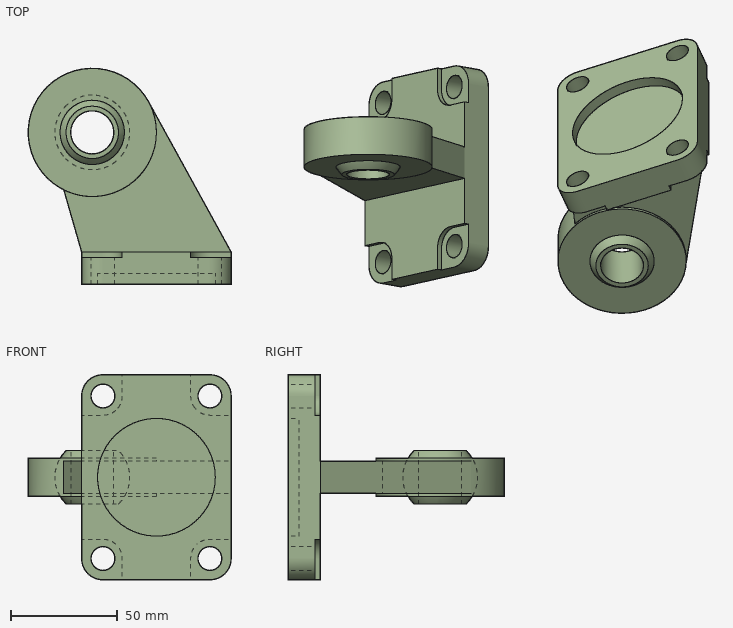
import cadquery as cq
import math

overall_depth = 101.0

plate_width = 70.0
plate_height = 96.0
plate_thickness = 15.0
corner_radius = 10.0

bolt_diameter = 11.0
bolt_spacing_x = 50.0
bolt_spacing_z = 76.0
seat_radius = 9.0
seat_depth = 2.5

recess_diameter = 55.0
recess_depth = 5.0

eye_diameter = 60.0
eye_thickness = 18.0
eye_x = -30.0
eye_y = overall_depth - eye_diameter / 2

web_thickness = 15.0
web_lean = 16.0

ball_diameter = 35.0
ball_height = 25.0
ball_bore = 20.0


def make_plate():
    """Rounded plate with its thickness along +Y."""
    return (
        cq.Workplane("XY")
        .box(plate_width, plate_thickness, plate_height)
        .edges("|Y")
        .fillet(corner_radius)
        .translate((0, plate_thickness / 2, 0))
    )


def make_bolt_cutters():
    """Through holes and corner seats for the four bolts."""
    cutters = []
    seat_floor = plate_thickness - seat_depth
    for side_x in (-1, 1):
        for side_z in (-1, 1):
            bolt_x = side_x * bolt_spacing_x / 2
            bolt_z = side_z * bolt_spacing_z / 2
            hole = (
                cq.Workplane("XZ")
                .center(bolt_x, bolt_z)
                .circle(bolt_diameter / 2)
                .extrude(-plate_thickness)
            )
            inner_x = bolt_x - side_x * seat_radius
            inner_z = bolt_z - side_z * seat_radius
            outer_x = side_x * plate_width / 2
            outer_z = side_z * plate_height / 2
            arc_reach = seat_radius * math.sqrt(0.5)
            seat = (
                cq.Workplane("XZ", origin=(0, seat_floor, 0))
                .moveTo(outer_x, outer_z)
                .lineTo(outer_x, inner_z)
                .lineTo(bolt_x, inner_z)
                .threePointArc(
                    (bolt_x - side_x * arc_reach, bolt_z - side_z * arc_reach),
                    (inner_x, bolt_z),
                )
                .lineTo(inner_x, outer_z)
                .close()
                .extrude(-seat_depth)
            )
            cutters += [hole, seat]
    return cutters


def make_web():
    """Web whose +X flank is tangent to the eye and whose -X flank leans outwards."""
    half_width = plate_width / 2
    eye_radius = eye_diameter / 2

    corner_dx = half_width - eye_x
    corner_dy = plate_thickness - eye_y
    corner_distance = math.hypot(corner_dx, corner_dy)
    tangent_angle = math.atan2(corner_dy, corner_dx) + math.acos(eye_radius / corner_distance)
    tangent_point = (
        eye_x + eye_radius * math.cos(tangent_angle),
        eye_y + eye_radius * math.sin(tangent_angle),
    )

    lean_offset = (eye_y - plate_thickness) * math.tan(math.radians(web_lean))
    return (
        cq.Workplane("XY", origin=(0, 0, -web_thickness / 2))
        .moveTo(-half_width, plate_thickness)
        .lineTo(half_width, plate_thickness)
        .lineTo(*tangent_point)
        .lineTo(eye_x, eye_y)
        .lineTo(-half_width - lean_offset, eye_y)
        .close()
        .extrude(web_thickness)
    )


def make_eye():
    """Solid disc of the eye."""
    return (
        cq.Workplane("XY", origin=(eye_x, eye_y, -eye_thickness / 2))
        .circle(eye_diameter / 2)
        .extrude(eye_thickness)
    )


def make_sphere():
    """Full sphere shared by the ball and its socket."""
    return cq.Workplane("XY", origin=(eye_x, eye_y, 0)).sphere(ball_diameter / 2)


def make_bracket():
    """Plate, web and eye as one body, with the recess, bolt holes and ball socket."""
    bracket = make_plate()
    for cutter in make_bolt_cutters():
        bracket = bracket.cut(cutter)
    recess = cq.Workplane("XZ").circle(recess_diameter / 2).extrude(-recess_depth)
    return bracket.cut(recess).union(make_web()).union(make_eye()).cut(make_sphere())


def make_ball():
    """Sphere cut flat at both ends and bored along Z."""
    ring = (
        cq.Workplane("XY", origin=(eye_x, eye_y, -ball_height / 2))
        .circle(ball_diameter / 2)
        .circle(ball_bore / 2)
        .extrude(ball_height)
    )
    return make_sphere().intersect(ring)


bracket = make_bracket()
ball = make_ball()
result = cq.Compound.makeCompound([bracket.solids().val(), ball.solids().val()])